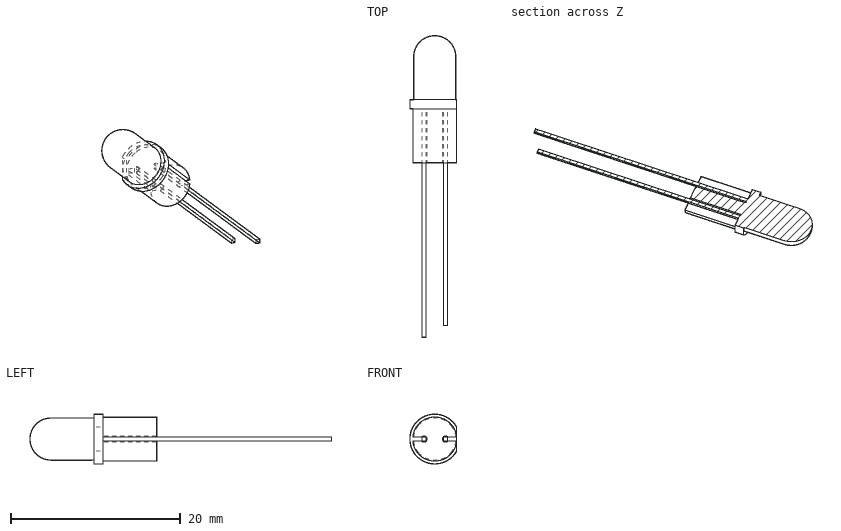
import cadquery as cq


lens_radius = 2.5
body_radius = 2.6
flange_radius = 2.95
total_body_length = 15.0
body_length = 6.35
flange_length = 1.1
flat_x = 2.59
flange_top_y = body_length + flange_length
dome_start_y = total_body_length - lens_radius

lead_pitch = 2.54
lead_size = 0.5
long_lead_length = 20.6
short_lead_length = 19.2

slot_width = 0.5
slot_end_diameter = 0.72


def disc_along_y(radius, start_y, length, x=0.0):
    """Cylinder about a line parallel to Y, running from start_y towards +Y."""
    return cq.Workplane("XZ", origin=(x, start_y, 0)).circle(radius).extrude(-length)


def box_along_y(x_start, x_end, start_y, end_y, height):
    """Box centred on z = 0, given by its X and Y limits."""
    return cq.Workplane("XY").box(
        x_end - x_start, end_y - start_y, height, centered=(False, False, True)
    ).translate((x_start, start_y, 0))


def make_lamp():
    """Body, flange and domed lens, with the flat on the +X side."""
    body = disc_along_y(body_radius, 0, body_length)
    flange = disc_along_y(flange_radius, body_length, flange_length)
    lens = disc_along_y(lens_radius, flange_top_y, dome_start_y - flange_top_y)
    dome = cq.Workplane("XY").sphere(lens_radius).translate((0, dome_start_y, 0))
    lamp = body.union(flange).union(lens).union(dome)
    keep = box_along_y(
        -flange_radius, flat_x, 0, total_body_length, 2 * flange_radius
    )
    return lamp.intersect(keep)


def make_slot(side):
    """Slot from the lead on the given side (-1 or +1) out through the body wall."""
    lead_x = side * lead_pitch / 2
    outer_x = side * flange_radius
    channel = box_along_y(
        min(lead_x, outer_x), max(lead_x, outer_x), 0, body_length, slot_width
    )
    return channel.union(disc_along_y(slot_end_diameter / 2, 0, body_length, lead_x))


def make_lead(side, length):
    """Square lead anchored in the flange, running through its slot to its free end."""
    lead_x = side * lead_pitch / 2
    return box_along_y(
        lead_x - lead_size / 2, lead_x + lead_size / 2, -length, flange_top_y, lead_size
    )


result = make_lamp()
for side, length in ((-1, long_lead_length), (1, short_lead_length)):
    result = result.cut(make_slot(side)).union(make_lead(side, length))